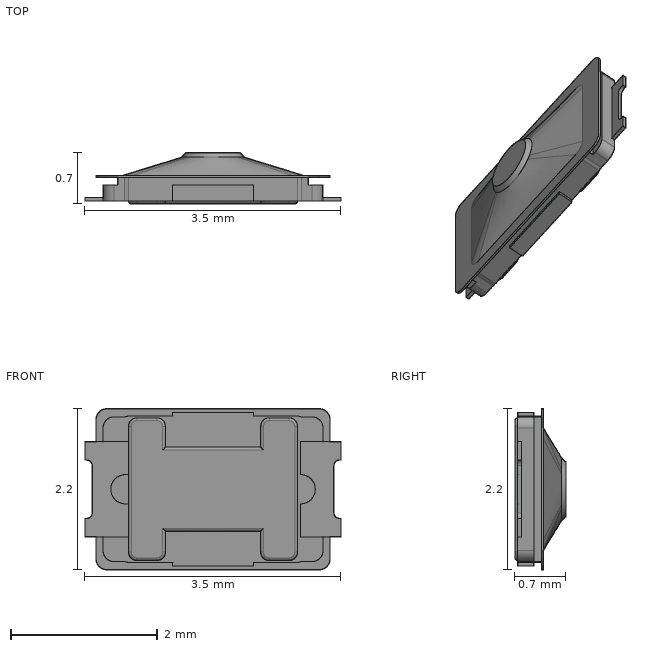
import cadquery as cq
import math


BASE_LENGTH = 3.003
BASE_CORE_LENGTH = 2.605
BASE_HEIGHT = 2.0
BASE_END_HEIGHT = 1.978
BASE_MIDDLE_LENGTH = 2.31
BASE_TAPER = 0.052
BASE_LAYER_DEPTH = 0.22
BASE_DEPTH = 0.322
BASE_CORNER_RADIUS = 0.15
TAB_LENGTH = 1.105
TAB_SPAN = 2.1

PAD_LENGTH = BASE_MIDDLE_LENGTH
PAD_HEIGHT = 1.95
PAD_WEB_HEIGHT = 1.148
PAD_NOTCH_LENGTH = 1.3
PAD_RAISE = 0.04
PAD_ROOT = 0.035
PAD_CORNER_RADIUS = 0.12
PAD_EDGE_RADIUS = PAD_RAISE

TERMINAL_SPAN = 3.5
TERMINAL_HEIGHT = 1.3
TERMINAL_THICKNESS = 0.05
END_NOTCH_HEIGHT = 0.795
END_NOTCH_DEPTH = 0.098
END_NOTCH_RADIUS = 0.075
LOBE_RADIUS = 0.2
LOBE_CENTER = 1.197
LEFT_INNER_EDGE = PAD_LENGTH / 2
RIGHT_INNER_EDGE = LOBE_CENTER

FLANGE_LENGTH = 3.2
FLANGE_HEIGHT = 2.2
FLANGE_THICKNESS = 0.028
FLANGE_CORNER_RADIUS = 0.15
DOME_LENGTH = 2.47
DOME_HEIGHT = 1.68
DOME_CORNER_RADIUS = 0.15
DOME_RISE = 0.25
BUTTON_FOOT_RADIUS = 0.43
BUTTON_TOP_RADIUS = 0.37
BUTTON_RISE = 0.063


def plane_at(y):
    """Plane parallel to XZ at the given Y, with its normal along +Y, local x along -X, local y along Z."""
    return cq.Workplane(cq.Plane(origin=(0, y, 0), xDir=(-1, 0, 0), normal=(0, 1, 0)))


def block(length, height, y_start, depth):
    """Box centred on X and Z that runs from y_start toward +Y."""
    return plane_at(y_start).rect(length, height).extrude(depth)


def base_layer(length, depth):
    """Layer of the base from Y = 0: full height in the middle, sloping down to slightly lower ends."""
    outline = [
        (0, BASE_HEIGHT / 2),
        (BASE_MIDDLE_LENGTH / 2, BASE_HEIGHT / 2),
        (BASE_MIDDLE_LENGTH / 2 + BASE_TAPER, BASE_END_HEIGHT / 2),
        (length / 2, BASE_END_HEIGHT / 2),
        (length / 2, 0),
    ]
    quarter = plane_at(0).polyline([*outline, (0, 0)]).close().extrude(depth)
    half = quarter.union(quarter.mirror("XY"))
    return half.union(half.mirror("YZ")).clean()


def make_pad():
    """H-shaped pad with rounded leg corners and a rounded front rim."""
    leg_length = (PAD_LENGTH - PAD_NOTCH_LENGTH) / 2
    depth = PAD_RAISE + PAD_ROOT
    leg = block(leg_length, PAD_HEIGHT, -PAD_RAISE, depth).edges("|Y").fillet(PAD_CORNER_RADIUS)
    pad = block(PAD_NOTCH_LENGTH + leg_length, PAD_WEB_HEIGHT, -PAD_RAISE, depth)
    for side in (-1, 1):
        pad = pad.union(leg.translate((side * (PAD_LENGTH - leg_length) / 2, 0, 0)))
    return pad.clean().faces("<Y").edges().fillet(PAD_EDGE_RADIUS)


def make_terminal(side, inner_edge):
    """Contact plate on the -X (side = -1) or +X (side = 1) end, flush with the base's front face."""
    outer_edge = TERMINAL_SPAN / 2
    plate = block(outer_edge - inner_edge, TERMINAL_HEIGHT, 0, TERMINAL_THICKNESS)
    plate = plate.translate(((outer_edge + inner_edge) / 2, 0, 0))

    end_notch = block(2 * END_NOTCH_DEPTH, END_NOTCH_HEIGHT, 0, TERMINAL_THICKNESS)
    end_notch = end_notch.edges("|Y").fillet(END_NOTCH_RADIUS).translate((outer_edge, 0, 0))

    lobe = plane_at(0).circle(LOBE_RADIUS).extrude(TERMINAL_THICKNESS)
    lobe_slot = block(2 * LOBE_RADIUS, 2 * LOBE_RADIUS, 0, TERMINAL_THICKNESS)
    lobe = lobe.union(lobe_slot.translate((-LOBE_RADIUS, 0, 0)))
    lobe = lobe.translate((LOBE_CENTER, 0, 0))

    terminal = plate.cut(end_notch).cut(lobe)
    return terminal if side > 0 else terminal.mirror("YZ")


def make_base(terminals):
    """Stepped base with its tabs and pad, recessed for the terminals."""
    front_layer = base_layer(BASE_LENGTH, BASE_LAYER_DEPTH)
    front_layer = front_layer.edges("|Y and (<X or >X)").fillet(BASE_CORNER_RADIUS)
    base = base_layer(BASE_CORE_LENGTH, BASE_DEPTH).union(front_layer)
    base = base.union(block(TAB_LENGTH, TAB_SPAN, 0, BASE_LAYER_DEPTH))
    base = base.union(make_pad())
    for terminal in terminals:
        base = base.cut(terminal)
    return base


def make_cover():
    """Thin flange behind the base that carries a dome from a rounded rectangle to a tapered button."""
    flange = block(FLANGE_LENGTH, FLANGE_HEIGHT, BASE_DEPTH, FLANGE_THICKNESS)
    flange = flange.edges("|Y").fillet(FLANGE_CORNER_RADIUS)

    dome_foot = BASE_DEPTH + FLANGE_THICKNESS
    foot_outline = cq.Sketch().rect(DOME_LENGTH, DOME_HEIGHT).vertices().fillet(DOME_CORNER_RADIUS)

    corner_angle = math.degrees(math.atan2(DOME_HEIGHT, DOME_LENGTH - 2 * DOME_CORNER_RADIUS))
    button_place = cq.Location(cq.Vector(0, 0, DOME_RISE), cq.Vector(0, 0, 1), corner_angle)
    button_outline = cq.Sketch().circle(BUTTON_FOOT_RADIUS).moved(button_place)
    dome = plane_at(dome_foot).placeSketch(foot_outline, button_outline).loft()

    button = plane_at(dome_foot + DOME_RISE).circle(BUTTON_FOOT_RADIUS)
    button = button.workplane(offset=BUTTON_RISE).circle(BUTTON_TOP_RADIUS).loft()
    return flange.union(dome).union(button)


terminals = [make_terminal(-1, LEFT_INNER_EDGE), make_terminal(1, RIGHT_INNER_EDGE)]
base = make_base(terminals)
cover = make_cover()

result = cq.Compound.makeCompound([base.val(), *[terminal.val() for terminal in terminals], cover.val()])